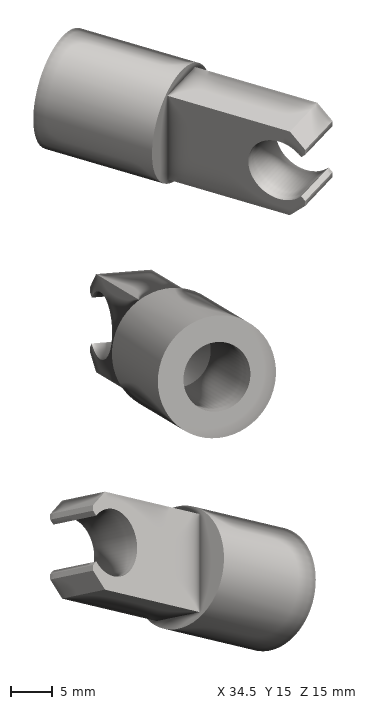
import cadquery as cq
import math

total_length = 34.55
body_length = 16.0
body_diameter = 15.0

bore_diameter = 8.5
bore_depth = 13.8
drill_point_angle = 118.0

tongue_height = 12.0
tongue_thickness = 7.0
clip_diameter = 8.22
clip_center_x = 30.98
nose_length = 2.07
lip_outer_half_height = 4.0
lip_inner_half_height = 3.3
lip_edge_half_height = 2.8


def make_body():
    """Round body lying along X, starting at X = 0."""
    return cq.Workplane("YZ").circle(body_diameter / 2).extrude(body_length)


def make_bore():
    """Blind hole from the X = 0 face, ending in a conical drill point."""
    radius = bore_diameter / 2
    point_depth = radius / math.tan(math.radians(drill_point_angle / 2))
    profile = (
        cq.Workplane("XY")
        .polyline([(0, 0), (0, radius), (bore_depth, radius), (bore_depth + point_depth, 0)])
        .close()
    )
    return profile.revolve(360, (0, 0, 0), (1, 0, 0))


def make_tongue():
    """Flat tongue with a tapered nose and an open round clip at its tip."""
    half_height = tongue_height / 2
    nose_start = total_length - nose_length
    lip_edge_x = clip_center_x + math.sqrt((clip_diameter / 2) ** 2 - lip_edge_half_height**2)
    clip_back_x = clip_center_x - clip_diameter / 2
    return (
        cq.Workplane("XZ")
        .moveTo(body_length, -half_height)
        .lineTo(nose_start, -half_height)
        .lineTo(total_length, -lip_outer_half_height)
        .lineTo(total_length, -lip_inner_half_height)
        .lineTo(lip_edge_x, -lip_edge_half_height)
        .threePointArc((clip_back_x, 0), (lip_edge_x, lip_edge_half_height))
        .lineTo(total_length, lip_inner_half_height)
        .lineTo(total_length, lip_outer_half_height)
        .lineTo(nose_start, half_height)
        .lineTo(body_length, half_height)
        .close()
        .extrude(tongue_thickness / 2, both=True)
    )


result = make_body().union(make_tongue()).cut(make_bore())